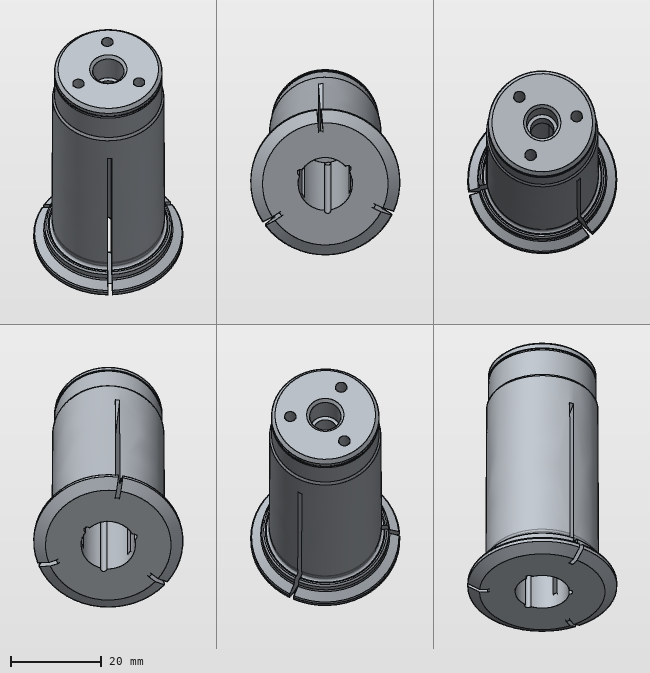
import cadquery as cq
import math

total_height = 60.5

head_radius = 23.8 / 2
head_chamfer = 0.8
head_bottom_z = 51.25
groove_top_z = 58.55
groove_bottom_z = 58.0
groove_depth = 0.25

body_top_radius = 24.6 / 2
body_top_z = 50.6
body_bottom_radius = 12.45
body_bottom_z = 7.9

neck_radius = 12.35
neck_top_z = 7.4
neck_fillet = 0.65
relief_depth = 0.1
relief_outer_radius = 13.25
collar_radius = 28.1 / 2
collar_top_z = 6.05
collar_chamfer = 0.4
collar_bottom_z = 4.3
collar_foot_z = 3.95
flange_radius = 33.0 / 2
flange_cone_angle = math.radians(30)
flange_top_z = 2.35
flange_edge_z = 2.8
flange_edge_radius = 16.3
flange_bottom_z = 1.5

bore_radius = 12.0 / 2
chamber_radius = 20.4 / 2
chamber_top_z = 48.4
chamber_floor_angle = math.radians(30)
passage_radius = 5.2 / 2
entry_radius = 6.9 / 2
entry_mouth_radius = 8.2 / 2
entry_bottom_z = 53.25

coolant_hole_radius = 2.5 / 2
coolant_hole_offset = 7.75
coolant_groove_radius = 0.7
coolant_groove_depth = 0.7
coolant_angles = (0, 120, 240)

slot_width = 0.95
slot_top_z = 44.3
slot_top_angle = math.radians(45)
slot_foot_z = 3.5
slot_foot_angle = math.radians(30)
slot_angles = (60, 180, 300)


def revolve_profile(points):
    """Revolve a closed (radius, height) polygon about Z."""
    return cq.Workplane("XZ").polyline(points).close().revolve(360, (0, 0, 0), (0, 1, 0))


def make_outside():
    relief_z = collar_top_z - relief_depth
    arc_middle = neck_fillet * (1 - math.sqrt(0.5))
    flange_bottom_radius = flange_radius - flange_bottom_z / math.tan(flange_cone_angle)
    collar_foot_radius = flange_edge_radius - (collar_foot_z - flange_edge_z) / math.tan(flange_cone_angle)
    return (
        cq.Workplane("XZ")
        .moveTo(0, 0)
        .lineTo(flange_bottom_radius, 0)
        .lineTo(flange_radius, flange_bottom_z)
        .lineTo(flange_radius, flange_top_z)
        .lineTo(flange_edge_radius, flange_edge_z)
        .lineTo(collar_foot_radius, collar_foot_z)
        .lineTo(collar_radius, collar_bottom_z)
        .lineTo(collar_radius, collar_top_z - collar_chamfer)
        .lineTo(collar_radius - collar_chamfer, collar_top_z)
        .lineTo(relief_outer_radius, collar_top_z)
        .lineTo(neck_radius + neck_fillet, relief_z)
        .threePointArc(
            (neck_radius + arc_middle, relief_z + arc_middle),
            (neck_radius, relief_z + neck_fillet),
        )
        .lineTo(neck_radius, neck_top_z)
        .lineTo(body_bottom_radius, body_bottom_z)
        .lineTo(body_top_radius, body_top_z)
        .lineTo(head_radius, head_bottom_z)
        .lineTo(head_radius, groove_bottom_z)
        .lineTo(head_radius - groove_depth, groove_top_z)
        .lineTo(head_radius, groove_top_z)
        .lineTo(head_radius, total_height - head_chamfer)
        .lineTo(head_radius - head_chamfer, total_height)
        .lineTo(0, total_height)
        .close()
        .revolve(360, (0, 0, 0), (0, 1, 0))
    )


def make_axial_passage():
    chamber_foot_z = chamber_top_z - (chamber_radius - bore_radius) * math.tan(chamber_floor_angle)
    entry_cone_z = total_height - (entry_mouth_radius - entry_radius)
    return revolve_profile(
        [
            (0, 0),
            (bore_radius, 0),
            (bore_radius, chamber_foot_z),
            (chamber_radius, chamber_top_z),
            (passage_radius, chamber_top_z),
            (passage_radius, entry_bottom_z),
            (entry_radius, entry_bottom_z),
            (entry_radius, entry_cone_z),
            (entry_mouth_radius, total_height),
            (0, total_height),
        ]
    )


def make_coolant_channel(angle):
    """Hole above the chamber plus the bore groove below it."""
    groove_offset = bore_radius + coolant_groove_depth - coolant_groove_radius
    hole = (
        cq.Workplane("XY", origin=(coolant_hole_offset, 0, total_height))
        .circle(coolant_hole_radius)
        .extrude(chamber_top_z - total_height)
    )
    groove = (
        cq.Workplane("XY", origin=(groove_offset, 0, 0))
        .circle(coolant_groove_radius)
        .extrude(chamber_top_z)
    )
    return hole.union(groove).rotate((0, 0, 0), (0, 0, 1), angle)


def make_slot(angle):
    """Slot blank whose sloping ends are carried from the axis to beyond the flange rim."""
    top_rise = math.tan(slot_top_angle)
    top_at_axis = slot_top_z - body_top_radius * top_rise
    foot_drop = math.tan(slot_foot_angle)
    foot_at_axis = slot_foot_z + bore_radius * foot_drop
    slot = (
        cq.Workplane("XZ")
        .polyline(
            [
                (0, foot_at_axis),
                (flange_radius, foot_at_axis - flange_radius * foot_drop),
                (flange_radius, top_at_axis + flange_radius * top_rise),
                (0, top_at_axis),
            ]
        )
        .close()
        .extrude(slot_width / 2, both=True)
    )
    return slot.rotate((0, 0, 0), (0, 0, 1), angle)


result = make_outside().cut(make_axial_passage())
for angle in coolant_angles:
    result = result.cut(make_coolant_channel(angle))
for angle in slot_angles:
    result = result.cut(make_slot(angle))